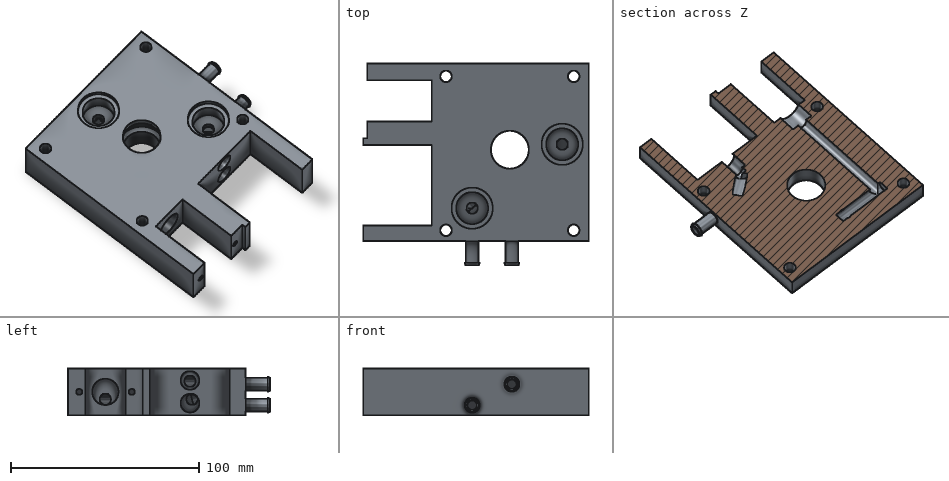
import cadquery as cq


LENGTH = 120.0
WIDTH = 94.5
HEIGHT = 25.0
MID_Z = HEIGHT / 2
SLOT_END_X = 36.4
STEP_X = 2.2
FRONT_ARM_Y = 8.4
MIDDLE_ARM_FRONT_Y = 51.0
LIP_BACK_Y = 54.7
MIDDLE_ARM_BACK_Y = 63.7
BACK_ARM_Y = 85.5

SCREW_HOLE_DIAMETER = 6.0
SCREW_HOLE_X = (44.0, 112.0)
SCREW_HOLE_Y = (5.8, 87.6)
CENTRE_X = 78.0
CENTRE_Y = 48.6
CENTRE_DIAMETER = 20.0
GROOVE_DIAMETER = 26.0
GROOVE_BOTTOM_Z = 12.5
GROOVE_HEIGHT = 9.0

POCKET_A_X = 58.0
POCKET_A_Y = 17.5
POCKET_B_X = 105.8
POCKET_B_Y = 51.5
POCKET_RIM_DIAMETER = 22.0
POCKET_A_RIM_DEPTH = 2.5
POCKET_B_RIM_DEPTH = 2.0
POCKET_DIAMETER = 17.0
POCKET_BODY_DEPTH = 8.0
POCKET_A_FLOOR_Z = HEIGHT - POCKET_A_RIM_DEPTH - POCKET_BODY_DEPTH
POCKET_B_FLOOR_Z = HEIGHT - POCKET_B_RIM_DEPTH - POCKET_BODY_DEPTH

PASSAGE_DIAMETER = 6.0
PASSAGE_OVERRUN = 4.2
STUB_LENGTH = PASSAGE_DIAMETER / 2
PORT_DIAMETER = 10.0
PORT_DEPTH = 10.0
PORT_END_X = SLOT_END_X + PORT_DEPTH
PORT_Y = 29.6
UPPER_PORT_Z = 18.6
LOWER_PORT_Z = 6.5
UPPER_PASSAGE_Z = 18.1
LOWER_PASSAGE_Y = 28.5
LOWER_PASSAGE_Z = 8.5
LARGE_PORT_DIAMETER = 14.0
LARGE_PORT_Y = 74.6

PIN_HOLE_DIAMETER = 3.2
PIN_HOLE_DEPTH = 10.0
PIN_HOLE_Y = (60.6, 88.5)

NIPPLE_LENGTH = 13.0
NIPPLE_DIAMETER = 7.0
NIPPLE_BORE = 5.0
BARB_DIAMETER = 8.0
BARB_LENGTH = 1.3
NIPPLE_1_X = POCKET_A_X
NIPPLE_1_Z = 5.4
NIPPLE_2_X = 79.1
NIPPLE_2_Z = 16.5


def bore(start, end, diameter):
    """Round cutter running from one point to another."""
    axis = cq.Vector(*end) - cq.Vector(*start)
    return cq.Solid.makeCylinder(diameter / 2, axis.Length, cq.Vector(*start), axis)


def make_blank():
    """Plate with three arms; the middle arm carries a narrow lip at its end."""
    outline = [
        (0, 0),
        (LENGTH, 0),
        (LENGTH, WIDTH),
        (STEP_X, WIDTH),
        (STEP_X, BACK_ARM_Y),
        (SLOT_END_X, BACK_ARM_Y),
        (SLOT_END_X, MIDDLE_ARM_BACK_Y),
        (STEP_X, MIDDLE_ARM_BACK_Y),
        (STEP_X, LIP_BACK_Y),
        (0, LIP_BACK_Y),
        (0, MIDDLE_ARM_FRONT_Y),
        (SLOT_END_X, MIDDLE_ARM_FRONT_Y),
        (SLOT_END_X, FRONT_ARM_Y),
        (0, FRONT_ARM_Y),
    ]
    return cq.Workplane("XY").polyline(outline).close().extrude(HEIGHT)


def cut_vertical_holes(body):
    """Four screw holes and the centre hole with its internal groove."""
    for x in SCREW_HOLE_X:
        for y in SCREW_HOLE_Y:
            body = body.cut(bore((x, y, 0), (x, y, HEIGHT), SCREW_HOLE_DIAMETER))
    body = body.cut(bore((CENTRE_X, CENTRE_Y, 0), (CENTRE_X, CENTRE_Y, HEIGHT), CENTRE_DIAMETER))
    groove_top_z = GROOVE_BOTTOM_Z + GROOVE_HEIGHT
    groove_start = (CENTRE_X, CENTRE_Y, GROOVE_BOTTOM_Z)
    groove_end = (CENTRE_X, CENTRE_Y, groove_top_z)
    return body.cut(bore(groove_start, groove_end, GROOVE_DIAMETER))


def cut_pocket(body, x, y, rim_depth):
    """Blind pocket with a wider shallow rim."""
    body = body.cut(bore((x, y, HEIGHT - rim_depth), (x, y, HEIGHT), POCKET_RIM_DIAMETER))
    floor_z = HEIGHT - rim_depth - POCKET_BODY_DEPTH
    return body.cut(bore((x, y, floor_z), (x, y, HEIGHT), POCKET_DIAMETER))


def cut_ports(body):
    """Blind ports bored along X into the slot end walls."""
    ports = [
        (PORT_Y, UPPER_PORT_Z, PORT_DIAMETER),
        (PORT_Y, LOWER_PORT_Z, PORT_DIAMETER),
        (LARGE_PORT_Y, MID_Z, LARGE_PORT_DIAMETER),
    ]
    for y, z, diameter in ports:
        body = body.cut(bore((SLOT_END_X, y, z), (PORT_END_X, y, z), diameter))
    return body


def cut_passages(body):
    """Narrow passages linking ports, pockets, centre groove and nipples."""
    inclined_start = (PORT_END_X + STUB_LENGTH, LOWER_PASSAGE_Y, LOWER_PASSAGE_Z)
    inclined_end = (POCKET_A_X, POCKET_A_Y, POCKET_A_FLOOR_Z - STUB_LENGTH)
    large_end_y = LARGE_PORT_Y + PASSAGE_OVERRUN
    below_b_start_y = POCKET_B_Y - PASSAGE_OVERRUN
    passages = [
        ((POCKET_A_X, POCKET_A_Y, UPPER_PASSAGE_Z),
         (POCKET_A_X, PORT_Y + PASSAGE_OVERRUN, UPPER_PASSAGE_Z)),
        ((PORT_END_X, PORT_Y, UPPER_PASSAGE_Z), (POCKET_A_X, PORT_Y, UPPER_PASSAGE_Z)),
        ((PORT_END_X, LOWER_PASSAGE_Y, LOWER_PASSAGE_Z), inclined_start),
        (inclined_start, inclined_end),
        (inclined_end, (POCKET_A_X, POCKET_A_Y, POCKET_A_FLOOR_Z)),
        ((POCKET_B_X, below_b_start_y, LOWER_PASSAGE_Z), (POCKET_B_X, large_end_y, LOWER_PASSAGE_Z)),
        ((PORT_END_X, LARGE_PORT_Y, LOWER_PASSAGE_Z), (POCKET_B_X, LARGE_PORT_Y, LOWER_PASSAGE_Z)),
        ((POCKET_B_X, POCKET_B_Y, LOWER_PASSAGE_Z), (POCKET_B_X, POCKET_B_Y, POCKET_B_FLOOR_Z)),
        ((NIPPLE_1_X, 0, NIPPLE_1_Z), (NIPPLE_1_X, POCKET_A_Y, NIPPLE_1_Z)),
        ((NIPPLE_2_X, 0, NIPPLE_2_Z), (NIPPLE_2_X, CENTRE_Y, NIPPLE_2_Z)),
    ]
    for start, end in passages:
        body = body.cut(bore(start, end, PASSAGE_DIAMETER))
    return body


def cut_pin_holes(body):
    """Small blind holes in the recessed ends of the middle and back arms."""
    for y in PIN_HOLE_Y:
        body = body.cut(bore((STEP_X, y, MID_Z), (STEP_X + PIN_HOLE_DEPTH, y, MID_Z), PIN_HOLE_DIAMETER))
    return body


def make_plate():
    body = cut_vertical_holes(make_blank())
    body = cut_pocket(body, POCKET_A_X, POCKET_A_Y, POCKET_A_RIM_DEPTH)
    body = cut_pocket(body, POCKET_B_X, POCKET_B_Y, POCKET_B_RIM_DEPTH)
    body = cut_ports(body)
    body = cut_passages(body)
    return cut_pin_holes(body)


def make_nipple(x, z):
    """Tube standing on the y = 0 face, with a tapered barb at its tip."""
    barb_y = BARB_LENGTH - NIPPLE_LENGTH
    profile = [
        (NIPPLE_BORE / 2, 0),
        (NIPPLE_DIAMETER / 2, 0),
        (NIPPLE_DIAMETER / 2, barb_y),
        (BARB_DIAMETER / 2, barb_y),
        (NIPPLE_DIAMETER / 2, -NIPPLE_LENGTH),
        (NIPPLE_BORE / 2, -NIPPLE_LENGTH),
    ]
    tube = cq.Workplane("XY").polyline(profile).close().revolve(360, (0, 0, 0), (0, 1, 0))
    return tube.translate((x, 0, z))


plate = make_plate()
nipples = [make_nipple(x, z).val() for x, z in ((NIPPLE_1_X, NIPPLE_1_Z), (NIPPLE_2_X, NIPPLE_2_Z))]

result = cq.Compound.makeCompound([plate.val(), *nipples])